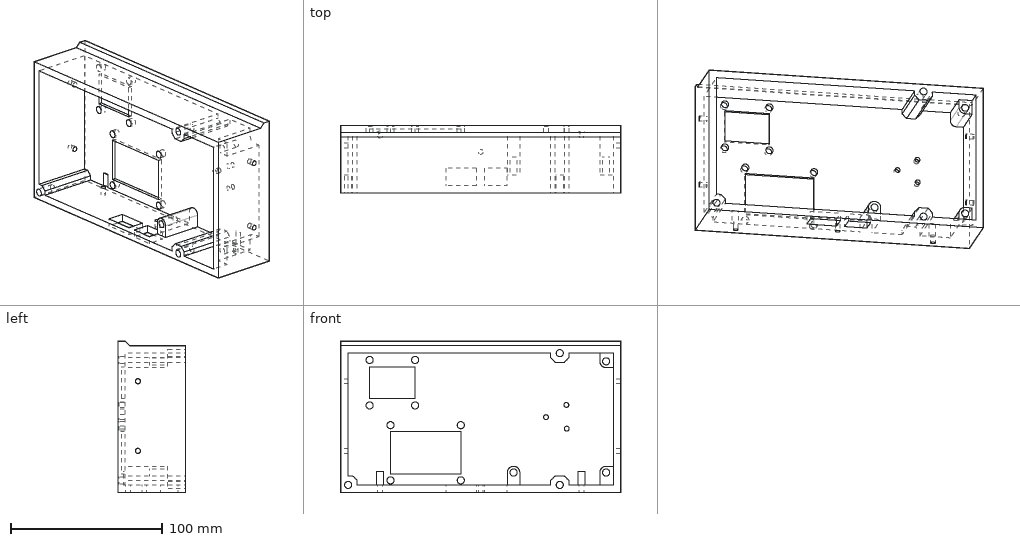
import cadquery as cq

LENGTH = 185.06
DEPTH = 44.79
HEIGHT = 100.0

WALL = 5.0
LIP_HEIGHT = 3.0
BODY_TOP = HEIGHT - LIP_HEIGHT
BACK_FACE = 40.0
LIP_FRONT = BACK_FACE
LIP_FOOT = LIP_FRONT - LIP_HEIGHT
INNER_RIGHT = LENGTH - WALL
INNER_TOP = BODY_TOP - WALL

BORE_DIAMETER = 4.7
BORE_DEPTH = 12.0

POST_WIDTH = 12.0
POST_CHAMFER = 3.0
POST_X = 144.7
POST_CENTRES = [(WALL, WALL), (POST_X, WALL), (POST_X, INNER_TOP)]

STANDOFF_FRONT = 12.0
STANDOFF_WIDTH = 8.2
STANDOFF_ROUNDING = 4.0
STANDOFF_LOW_Z = 13.2
STANDOFF_HIGH_Z = 86.6
STANDOFF_MID_X = 114.2
STANDOFF_RIGHT_X = 175.3

RECESS_DEPTH = 2.3
BACK_HOLE_DEPTH = 4.0
SMALL_RECESS_CENTRE = (34.2, 72.5)
SMALL_RECESS_SIZE = (30.0, 21.0)
SMALL_BORE_PITCH = (30.0, 30.0)
LARGE_RECESS_CENTRE = (56.15, 26.25)
LARGE_RECESS_SIZE = (46.4, 28.0)
LARGE_BORE_PITCH = (46.4, 36.4)

SMALL_HOLE_DIAMETER = 3.2
BACK_HOLES = [(149.05, 57.85), (135.6, 49.75), (149.3, 42.2)]
SIDE_HOLE_Y = 31.5
SIDE_HOLE_HEIGHTS = [27.5, 73.5]

OPENING_FRONT = 5.0
OPENING_BACK = 16.7
OPENING_SPANS = [(69.5, 89.6), (95.0, 110.0)]

FLOOR_HOLE_PITCH = 66.5
FLOOR_HOLE_MID_Y = 27.3
FLOOR_HOLE_SIDE_Y = 38.0
CLEARANCE_DIAMETER = 6.0
CLEARANCE_TOP = 14.0


def block(x_range, y_range, z_range):
    """Box filling the given ranges along X, Y and Z."""
    sizes = [end - start for start, end in (x_range, y_range, z_range)]
    corner = (x_range[0], y_range[0], z_range[0])
    return cq.Workplane("XY").box(*sizes, centered=False).translate(corner)


def bore(x, z, diameter, front, depth):
    """Round bar along +Y that starts at y = front."""
    bar = cq.Solid.makeCylinder(diameter / 2, depth, cq.Vector(x, front, z), cq.Vector(0, 1, 0))
    return cq.Workplane(obj=bar)


def upright_bore(x, y, diameter, bottom, top):
    """Round bar along +Z between two heights."""
    bar = cq.Solid.makeCylinder(diameter / 2, top - bottom, cq.Vector(x, y, bottom))
    return cq.Workplane(obj=bar)


def make_shell():
    """Box open at the front, with a raised lip along the top back edge."""
    profile = [
        (0, 0),
        (DEPTH, 0),
        (DEPTH, HEIGHT),
        (LIP_FRONT, HEIGHT),
        (LIP_FOOT, BODY_TOP),
        (0, BODY_TOP),
    ]
    body = cq.Workplane("YZ").polyline(profile).close().extrude(LENGTH)
    return body.cut(block((WALL, INNER_RIGHT), (0, BACK_FACE), (WALL, INNER_TOP)))


def make_post(x, z):
    """Lid post over the full cavity depth, trimmed to stay inside the box."""
    half = POST_WIDTH / 2
    post = block((x - half, x + half), (0, BACK_FACE), (z - half, z + half))
    post = post.edges("|Y").chamfer(POST_CHAMFER)
    return post.intersect(block((0, LENGTH), (0, BACK_FACE), (0, BODY_TOP)))


def make_standoff(x, z, x_end, z_end, free_edges):
    """Standoff that runs on to x_end on its right and to the floor or roof at z_end."""
    half = STANDOFF_WIDTH / 2
    z_range = (z_end, z + half) if z_end < z else (z - half, z_end)
    standoff = block((x - half, x_end), (STANDOFF_FRONT, BACK_FACE), z_range)
    return standoff.edges("|Y").edges(free_edges).fillet(STANDOFF_ROUNDING)


def cut_recess(part, centre, size, bore_pitch):
    """Rectangular recess in the back wall with a bore at each corner of its pitch rectangle."""
    x, z = centre
    half_x, half_z = size[0] / 2, size[1] / 2
    y_range = (BACK_FACE, BACK_FACE + RECESS_DEPTH)
    part = part.cut(block((x - half_x, x + half_x), y_range, (z - half_z, z + half_z)))
    for side in (-0.5, 0.5):
        for level in (-0.5, 0.5):
            bore_x = x + side * bore_pitch[0]
            bore_z = z + level * bore_pitch[1]
            part = part.cut(bore(bore_x, bore_z, BORE_DIAMETER, BACK_FACE, BACK_HOLE_DEPTH))
    return part


part = make_shell()

for x, z in POST_CENTRES:
    part = part.union(make_post(x, z))
    part = part.cut(bore(x, z, BORE_DIAMETER, 0, BORE_DEPTH))

STANDOFFS = [
    (STANDOFF_MID_X, STANDOFF_LOW_Z, STANDOFF_MID_X + STANDOFF_WIDTH / 2, WALL, ">Z"),
    (STANDOFF_RIGHT_X, STANDOFF_LOW_Z, INNER_RIGHT, WALL, "<X and >Z"),
    (STANDOFF_RIGHT_X, STANDOFF_HIGH_Z, INNER_RIGHT, INNER_TOP, "<X and <Z"),
]
for x, z, x_end, z_end, free_edges in STANDOFFS:
    part = part.union(make_standoff(x, z, x_end, z_end, free_edges))
    part = part.cut(bore(x, z, BORE_DIAMETER, STANDOFF_FRONT, BORE_DEPTH))

part = cut_recess(part, SMALL_RECESS_CENTRE, SMALL_RECESS_SIZE, SMALL_BORE_PITCH)
part = cut_recess(part, LARGE_RECESS_CENTRE, LARGE_RECESS_SIZE, LARGE_BORE_PITCH)
for x, z in BACK_HOLES:
    part = part.cut(bore(x, z, SMALL_HOLE_DIAMETER, BACK_FACE, BACK_HOLE_DEPTH))

for z in SIDE_HOLE_HEIGHTS:
    start = cq.Vector(0, SIDE_HOLE_Y, z)
    through = cq.Solid.makeCylinder(SMALL_HOLE_DIAMETER / 2, LENGTH, start, cq.Vector(1, 0, 0))
    part = part.cut(cq.Workplane(obj=through))

for x_range in OPENING_SPANS:
    part = part.cut(block(x_range, (OPENING_FRONT, OPENING_BACK), (0, WALL)))
part = part.cut(upright_bore(LENGTH / 2, FLOOR_HOLE_MID_Y, SMALL_HOLE_DIAMETER, 0, WALL))
for side in (-1, 1):
    x = LENGTH / 2 + side * FLOOR_HOLE_PITCH
    part = part.cut(upright_bore(x, FLOOR_HOLE_SIDE_Y, SMALL_HOLE_DIAMETER, 0, WALL))
    part = part.cut(upright_bore(x, FLOOR_HOLE_SIDE_Y, CLEARANCE_DIAMETER, WALL, CLEARANCE_TOP))

result = part